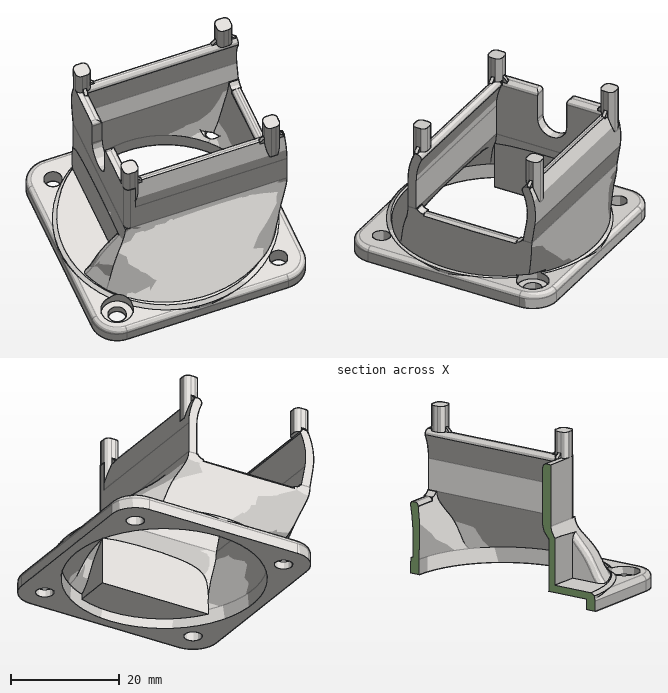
import cadquery as cq
import math

PLATE_SIZE = 42.0
PLATE_THICK = 3.0
PLATE_CORNER_R = 5.0
PLATE_EDGE_R = 0.95
HALF_PLATE = PLATE_SIZE / 2

HOLE_OFFSET = 16.0
HOLE_DIA = 3.4
COUNTERBORE_DIA = 6.0
COUNTERBORE_FLOOR_Z = 1.5
COUNTERBORE_CLEARANCE = 1.2
HOLES = (
    (-HOLE_OFFSET, -HOLE_OFFSET, False),
    (HOLE_OFFSET, HOLE_OFFSET, False),
    (-HOLE_OFFSET, HOLE_OFFSET, True),
    (HOLE_OFFSET, -HOLE_OFFSET, True),
)

BORE_R = 19.0
RING_FOOT_R = 20.9
RING_TOP_R = 20.1
RING_TOP_Z = 3.5
FUNNEL_R = 20.4
FUNNEL_TOP_Z = 14.65
FUNNEL_SECTIONS = ((PLATE_THICK, 0), (8.2, 0.42), (11.5, 0.79), (13.0, 0.94), (FUNNEL_TOP_Z, 1))
FUNNEL_CORNER_ANGLES = (-55, 55, 134, 215)
FUNNEL_CORNER_POWERS = (1, 1, 0.5, 1)

TOWER_RIGHT_X = 7.55
TOWER_FRONT_Y = -11.0
TOWER_BACK_Y = 21.06
TOWER_TOP_Z = 26.5
WALL_THICK = 1.75
FRONT_WALL_THICK = 2.0
BACK_WALL_THICK = 1.9
BACK_WALL_TOP_Z = 13.9
BACK_OPENING_R = 1.5
BACK_RIM_R = 0.7
FRONT_CORNER_R = 1.0
FRONT_RIM_R = 1.0

OUTER_ARC_R = 12.7
INNER_ARC_R = OUTER_ARC_R - WALL_THICK
ARC_CENTRE_Z = 20.7
LEFT_ARC_X = -6.75
RIGHT_ARC_X = TOWER_RIGHT_X - OUTER_ARC_R
LEFT_ARC_START_Z = 18.7
RIM_ROUND = 1.0

NOTCH_X = -6.0
NOTCH_WIDTH = 6.1
NOTCH_BOTTOM_Z = 17.5
NOTCH_MOUTH_R = 0.7

POST_SIZE = 2.9
POST_CORNER_R = 1.0
POST_TOP_Z = 31.5
POST_FOOT_Z = 22.6
POST_XS = (-17.85, 6.0)
POST_YS = (TOWER_FRONT_Y + POST_SIZE / 2, 18.5)
GUSSET_SIZE = 0.9
GUSSET_THICK = 0.7
GUSSETS = (
    (POST_XS[0], POST_YS[0], 0),
    (POST_XS[0], POST_YS[0], 90),
    (POST_XS[0], POST_YS[1], -90),
    (POST_XS[0], POST_YS[1], 90),
    (POST_XS[1], POST_YS[0], 180),
    (POST_XS[1], POST_YS[0], 90),
    (POST_XS[1], POST_YS[1], -90),
    (POST_XS[1], POST_YS[1], 90),
)

POCKET_LEFT_X = -17.0
POCKET_RIGHT_X = 5.5
POCKET_BACK_Y = -11.9
POCKET_WALL = 1.5
RIB_EDGE_R = 1.0

OVERCUT = 1.0
EDGE_REACH = 0.1


def block(x0, x1, y0, y1, z0, z1):
    """Axis-aligned box between two opposite corners."""
    return cq.Workplane("XY").box(x1 - x0, y1 - y0, z1 - z0, centered=False).translate((x0, y0, z0))


def cylinder(x, y, radius, z0, z1):
    return cq.Workplane("XY", origin=(x, y, z0)).circle(radius).extrude(z1 - z0)


def wall_arc_x(centre_x, radius, z, side):
    """X of a side wall arc at height z; side is -1 for the left wall and +1 for the right."""
    return centre_x + side * math.sqrt(radius ** 2 - (z - ARC_CENTRE_Z) ** 2)


def left_foot_x(radius):
    """X of the leaning flat of the left wall where it meets the funnel; the flat is tangent to the arc."""
    arc_start_x = wall_arc_x(LEFT_ARC_X, radius, LEFT_ARC_START_Z, -1)
    lean = (ARC_CENTRE_Z - LEFT_ARC_START_Z) / (LEFT_ARC_X - arc_start_x)
    return arc_start_x + lean * (LEFT_ARC_START_Z - FUNNEL_TOP_Z)


def tower_prism(radius, y0, y1, top_z, rim_round):
    """Space between the two curved side walls, for the given arc radius, extruded along Y.

    A positive rim_round flares the space outward at the top, rounding the wall rims.
    """
    arc_end_z = top_z - rim_round
    arc_mid_z = (LEFT_ARC_START_Z + arc_end_z) / 2
    right_mid_z = (ARC_CENTRE_Z + arc_end_z) / 2
    left_arc_start_x = wall_arc_x(LEFT_ARC_X, radius, LEFT_ARC_START_Z, -1)
    left_end_x = wall_arc_x(LEFT_ARC_X, radius, arc_end_z, -1)
    right_end_x = wall_arc_x(RIGHT_ARC_X, radius, arc_end_z, 1)
    right_x = RIGHT_ARC_X + radius
    right_arc_middle = (wall_arc_x(RIGHT_ARC_X, radius, right_mid_z, 1), right_mid_z)
    outline = (
        cq.Workplane("XZ", origin=(0, y1, 0))
        .moveTo(left_foot_x(radius), FUNNEL_TOP_Z)
        .lineTo(right_x, FUNNEL_TOP_Z)
        .lineTo(right_x, ARC_CENTRE_Z)
        .threePointArc(right_arc_middle, (right_end_x, arc_end_z))
    )
    if rim_round > 0:
        bulge = rim_round * (1 - math.sqrt(0.5))
        outline = (
            outline
            .threePointArc((right_end_x + bulge, top_z - bulge), (right_end_x + rim_round, top_z))
            .lineTo(left_end_x - rim_round, top_z)
            .threePointArc((left_end_x - bulge, top_z - bulge), (left_end_x, arc_end_z))
        )
    else:
        outline = outline.lineTo(left_end_x, arc_end_z)
    outline = outline.threePointArc(
        (wall_arc_x(LEFT_ARC_X, radius, arc_mid_z, -1), arc_mid_z), (left_arc_start_x, LEFT_ARC_START_Z)
    )
    return outline.close().extrude(y1 - y0)


def funnel(radius, left, right, front, back):
    """Smooth transition from a circle on the plate to a rectangle at the funnel top."""
    corners = ((right, front), (right, back), (left, back), (left, front))
    count = len(corners)

    def blend(angle, target, share, z):
        """Point on the way from the circle, at the given angle, to the target on the rectangle."""
        circle_x = radius * math.cos(math.radians(angle))
        circle_y = radius * math.sin(math.radians(angle))
        x = circle_x + share * (target[0] - circle_x)
        y = circle_y + share * (target[1] - circle_y)
        return cq.Vector(x, y, z)

    wires = []
    for z, share in FUNNEL_SECTIONS:
        edges = []
        for i, start in enumerate(FUNNEL_CORNER_ANGLES):
            following = (i + 1) % count
            end = start + (FUNNEL_CORNER_ANGLES[following] - start) % 360
            side_middle = [(p + q) / 2 for p, q in zip(corners[i], corners[following])]
            first = blend(start, corners[i], share ** FUNNEL_CORNER_POWERS[i], z)
            last = blend(end, corners[following], share ** FUNNEL_CORNER_POWERS[following], z)
            if share == 1:
                edges.append(cq.Edge.makeLine(first, last))
            else:
                middle = blend((start + end) / 2, side_middle, share, z)
                edges.append(cq.Edge.makeThreePointArc(first, middle, last))
        wires.append(cq.Wire.assembleEdges(edges))
    return cq.Workplane(cq.Solid.makeLoft(wires))


def base_plate():
    plate = (
        cq.Workplane("XY")
        .rect(PLATE_SIZE, PLATE_SIZE)
        .extrude(PLATE_THICK)
        .edges("|Z").fillet(PLATE_CORNER_R)
        .faces(">Z").edges().fillet(PLATE_EDGE_R)
    )
    ring = (
        cq.Workplane("XY", origin=(0, 0, PLATE_THICK)).circle(RING_FOOT_R)
        .workplane(offset=RING_TOP_Z - PLATE_THICK).circle(RING_TOP_R)
        .loft()
    )
    under_ring = cylinder(0, 0, RING_FOOT_R, 0, PLATE_THICK)
    return plate.union(under_ring).union(ring)


def outer_body():
    shell = funnel(FUNNEL_R, left_foot_x(OUTER_ARC_R), TOWER_RIGHT_X, TOWER_FRONT_Y, TOWER_BACK_Y)
    tower = tower_prism(OUTER_ARC_R, TOWER_FRONT_Y, TOWER_BACK_Y, TOWER_TOP_Z, 0)
    corner_x = TOWER_RIGHT_X - POST_SIZE
    front_corner = block(corner_x, TOWER_RIGHT_X, TOWER_FRONT_Y, TOWER_FRONT_Y + FRONT_WALL_THICK,
                         FUNNEL_TOP_Z, TOWER_TOP_Z)
    tower = tower.union(front_corner)
    corner_edges = cq.selectors.BoxSelector(
        (TOWER_RIGHT_X - EDGE_REACH, TOWER_FRONT_Y - EDGE_REACH, FUNNEL_TOP_Z),
        (TOWER_RIGHT_X + EDGE_REACH, TOWER_FRONT_Y + EDGE_REACH, TOWER_TOP_Z),
    )
    tower = tower.edges(corner_edges).edges("|Z").fillet(FRONT_CORNER_R)
    return base_plate().union(shell).union(tower)


def pocket(margin):
    """Front pocket block, grown by margin on its left, right, back and bottom sides."""
    return block(POCKET_LEFT_X - margin, POCKET_RIGHT_X + margin,
                 -HALF_PLATE - OVERCUT, POCKET_BACK_Y + margin,
                 RING_TOP_Z - margin, FUNNEL_TOP_Z - OVERCUT)


def cavity():
    """Round bore, funnel inside that stays clear of the pocket walls, and tower inside."""
    inner_front_y = TOWER_FRONT_Y + FRONT_WALL_THICK
    bore = cylinder(0, 0, BORE_R, -OVERCUT, PLATE_THICK)
    inner_left_x = left_foot_x(INNER_ARC_R)
    inner_right_x = TOWER_RIGHT_X - WALL_THICK
    inner_funnel = funnel(BORE_R, inner_left_x, inner_right_x,
                          inner_front_y, TOWER_BACK_Y - BACK_WALL_THICK)
    lower = bore.union(inner_funnel).cut(pocket(POCKET_WALL))
    upper = tower_prism(INNER_ARC_R, inner_front_y, TOWER_BACK_Y + OVERCUT, TOWER_TOP_Z, RIM_ROUND)
    back_opening = (
        block(inner_left_x, inner_right_x, 0, TOWER_BACK_Y + OVERCUT, BACK_WALL_TOP_Z, ARC_CENTRE_Z)
        .edges("|Y and <Z").fillet(BACK_OPENING_R)
    )
    return lower.union(upper).union(back_opening)


def notch():
    radius = NOTCH_WIDTH / 2
    left = NOTCH_X - radius
    right = NOTCH_X + radius
    spring_z = NOTCH_BOTTOM_Z + radius
    flare = NOTCH_MOUTH_R
    bulge = flare * (1 - math.sqrt(0.5))
    return (
        cq.Workplane("XZ", origin=(0, TOWER_FRONT_Y + FRONT_WALL_THICK + OVERCUT, 0))
        .moveTo(left - flare, TOWER_TOP_Z)
        .threePointArc((left - bulge, TOWER_TOP_Z - bulge), (left, TOWER_TOP_Z - flare))
        .lineTo(left, spring_z)
        .threePointArc((NOTCH_X, NOTCH_BOTTOM_Z), (right, spring_z))
        .lineTo(right, TOWER_TOP_Z - flare)
        .threePointArc((right + bulge, TOWER_TOP_Z - bulge), (right + flare, TOWER_TOP_Z))
        .close()
        .extrude(FRONT_WALL_THICK + 2 * OVERCUT)
    )


def gusset(x, y, direction):
    """Small triangular foot of a post, standing on the wall top and pointing along direction."""
    reach = POST_SIZE / 2 + GUSSET_SIZE
    return (
        cq.Workplane("XZ")
        .moveTo(0, TOWER_TOP_Z - GUSSET_SIZE)
        .lineTo(reach, TOWER_TOP_Z - GUSSET_SIZE)
        .lineTo(reach, TOWER_TOP_Z)
        .lineTo(POST_SIZE / 2, TOWER_TOP_Z + GUSSET_SIZE)
        .lineTo(0, TOWER_TOP_Z + GUSSET_SIZE)
        .close()
        .extrude(GUSSET_THICK / 2, both=True)
        .rotate((0, 0, 0), (0, 0, 1), direction)
        .translate((x, y, 0))
    )


def post(x, y):
    return (
        cq.Workplane("XY", origin=(x, y, POST_FOOT_Z))
        .rect(POST_SIZE, POST_SIZE)
        .extrude(POST_TOP_Z - POST_FOOT_Z)
        .edges("|Z").fillet(POST_CORNER_R)
    )


def mounting_hole(x, y, counterbored):
    hole = cylinder(x, y, HOLE_DIA / 2, -OVERCUT, PLATE_THICK + COUNTERBORE_CLEARANCE)
    if counterbored:
        recess = cylinder(x, y, COUNTERBORE_DIA / 2, COUNTERBORE_FLOOR_Z, PLATE_THICK + COUNTERBORE_CLEARANCE)
        hole = hole.union(recess)
    return hole


def rim_rounding(x0, x1, y, z, radius, side):
    """Waste to remove along X to round a rim edge at (y, z); side is the +1 or -1 Y direction of open air."""
    centre_y = y - side * radius
    centre_z = z - radius
    y0, y1 = sorted((centre_y, y + side * OVERCUT))
    waste = block(x0, x1, y0, y1, centre_z, z + OVERCUT)
    rod = cq.Workplane("YZ", origin=(x0, centre_y, centre_z)).circle(radius).extrude(x1 - x0)
    return waste.cut(rod)


def round_pocket_edge(body):
    """Round the sloping edge where the right pocket wall meets the funnel."""
    edge_box = cq.selectors.BoxSelector(
        (POCKET_RIGHT_X - EDGE_REACH, -HALF_PLATE, RING_TOP_Z + EDGE_REACH),
        (POCKET_RIGHT_X + EDGE_REACH, POCKET_BACK_Y - EDGE_REACH, FUNNEL_TOP_Z),
    )
    return body.edges(edge_box).fillet(RIB_EDGE_R)


def round_wall_rims(body):
    """Round the rims of the front and back walls, between the posts."""
    inner_front_y = TOWER_FRONT_Y + FRONT_WALL_THICK
    inner_back_y = TOWER_BACK_Y - BACK_WALL_THICK
    front_left_x = POST_XS[0] + POST_SIZE / 2
    front_right_x = POST_XS[1] - POST_SIZE / 2
    back_left_x = left_foot_x(INNER_ARC_R) + BACK_OPENING_R
    back_right_x = TOWER_RIGHT_X - WALL_THICK - BACK_OPENING_R
    body = body.cut(rim_rounding(front_left_x, front_right_x, inner_front_y, TOWER_TOP_Z, FRONT_RIM_R, 1))
    for rim_y, side in ((inner_back_y, -1), (TOWER_BACK_Y, 1)):
        body = body.cut(rim_rounding(back_left_x, back_right_x, rim_y, BACK_WALL_TOP_Z, BACK_RIM_R, side))
    return body


result = round_pocket_edge(outer_body().cut(cavity()).cut(pocket(0)))
result = round_wall_rims(result.cut(notch()))
for hole_x, hole_y, counterbored in HOLES:
    result = result.cut(mounting_hole(hole_x, hole_y, counterbored))

inside = cavity()
for post_x in POST_XS:
    for post_y in POST_YS:
        result = result.union(post(post_x, post_y).cut(inside))
for post_x, post_y, direction in GUSSETS:
    result = result.union(gusset(post_x, post_y, direction))